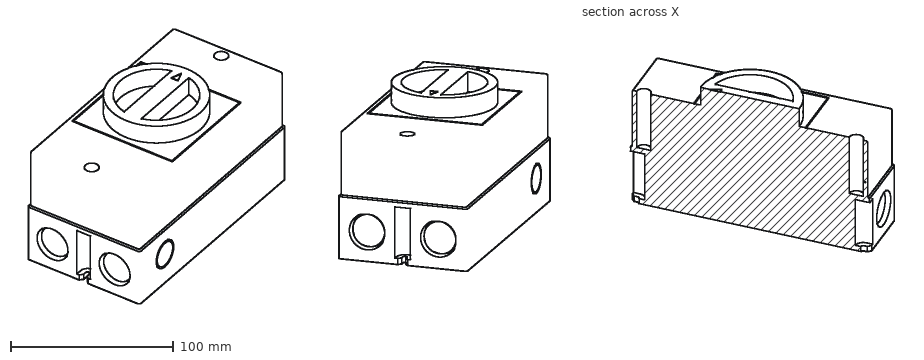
import cadquery as cq

length = 159.0
width = 84.0
base_height = 41.0
cover_height = 41.0
knob_height = 12.9
cover_inset = 1.03
corner_radius = 1.6
base_rim_chamfer = 1.0
cover_rim_radius = 1.6

knob_diameter = 65.7
knob_inner_diameter = 53.3
grip_width = 12.9
arrow_tip_y = 27.0
arrow_base_y = 19.7
arrow_width = 5.0

engraving_depth = 0.3
frame_size = 74.7
frame_line_width = 0.5

screw_diameter = 9.0
screw_y = 70.6

end_knockout_diameter = 23.0
end_knockout_x = 23.2
end_knockout_z = 19.1
end_knockout_recess = 3.2
side_knockout_diameter = 19.1
side_knockout_y = -52.0
side_knockout_z = 22.0
knockout_ring_width = 1.1
knockout_ring_depth = 2.4

channel_width = 10.0
channel_bottom = 4.0
channel_top = 37.0
slot_width = 2.7
slot_mouth_width = 6.7
slot_flare_depth = 2.0
notch_center_depth = 4.3

cover_top = base_height + cover_height
knob_top = cover_top + knob_height


def rounded_box(size_x, size_y, height, bottom):
    """Box with rounded vertical edges."""
    box = cq.Workplane("XY").workplane(offset=bottom).rect(size_x, size_y).extrude(height)
    return box.edges("|Z").fillet(corner_radius)


def make_knob():
    """Round knob with two segment-shaped pockets either side of the grip bar."""
    plane = cq.Workplane("XY").workplane(offset=cover_top)
    pockets = plane.circle(knob_inner_diameter / 2).extrude(knob_height)
    grip = plane.rect(grip_width, knob_diameter).extrude(knob_height)
    return plane.circle(knob_diameter / 2).extrude(knob_height).cut(pockets.cut(grip))


def make_arrow():
    """Triangular pointer engraved in the grip bar."""
    corners = [
        (-arrow_width / 2, arrow_base_y),
        (arrow_width / 2, arrow_base_y),
        (0, arrow_tip_y),
    ]
    return cq.Workplane("XY").workplane(offset=knob_top).polyline(corners).close().extrude(-engraving_depth)


def make_frame():
    """Thin square groove in the cover around the knob."""
    inner_size = frame_size - 2 * frame_line_width
    plane = cq.Workplane("XY").workplane(offset=cover_top)
    return plane.rect(frame_size, frame_size).rect(inner_size, inner_size).extrude(-engraving_depth)


def make_screw_holes():
    """Two holes as deep as the cover."""
    plane = cq.Workplane("XY").workplane(offset=cover_top)
    return plane.pushPoints([(0, -screw_y), (0, screw_y)]).circle(screw_diameter / 2).extrude(-cover_height)


def make_knockout(face, diameter, recess):
    """Cutter for a blank sunk by the recess, with a V ring groove; face is an inward-facing plane."""
    outer_radius = diameter / 2
    groove_section = [
        (outer_radius - knockout_ring_width, recess),
        (outer_radius - knockout_ring_width / 2, recess + knockout_ring_depth),
        (outer_radius, recess),
    ]
    axis_plane = cq.Plane(face.plane.origin, face.plane.xDir, -face.plane.yDir)
    ring = cq.Workplane(axis_plane).polyline(groove_section).close().revolve(360, (0, 0), (0, 1))
    if recess == 0:
        return ring
    return face.circle(outer_radius).extrude(recess).union(ring)


def make_end_knockouts():
    """Two sunk knockouts in the -Y end."""
    cutters = cq.Workplane("XY")
    for x in (-end_knockout_x, end_knockout_x):
        face = cq.Workplane(cq.Plane((x, -length / 2, end_knockout_z), (1, 0, 0), (0, 1, 0)))
        cutters = cutters.add(make_knockout(face, end_knockout_diameter, end_knockout_recess))
    return cutters.combine()


def make_side_knockout():
    """Flush knockout in the -X side."""
    face = cq.Workplane("YZ", origin=(-width / 2, side_knockout_y, side_knockout_z))
    return make_knockout(face, side_knockout_diameter, 0)


def make_notch():
    """Mounting notch in the -Y end."""
    end_y = -length / 2
    center_y = end_y + notch_center_depth

    def round_ended_slot(slot_size, bottom, top):
        half = slot_size / 2
        plane = cq.Workplane("XY").workplane(offset=bottom)
        outline = plane.moveTo(-half, end_y).lineTo(half, end_y).lineTo(half, center_y)
        outline = outline.threePointArc((0, center_y + half), (-half, center_y)).close()
        return outline.extrude(top - bottom)

    flare_corners = [
        (-slot_mouth_width / 2, end_y),
        (slot_mouth_width / 2, end_y),
        (slot_width / 2, end_y + slot_flare_depth),
        (-slot_width / 2, end_y + slot_flare_depth),
    ]
    flare = cq.Workplane("XY").polyline(flare_corners).close().extrude(channel_bottom)
    channel = round_ended_slot(channel_width, channel_bottom, channel_top)
    return channel.union(round_ended_slot(slot_width, 0, channel_bottom)).union(flare)


base = rounded_box(width, length, base_height, 0)
base = base.faces(">Z").chamfer(base_rim_chamfer)
cover = rounded_box(width - 2 * cover_inset, length - 2 * cover_inset, cover_height, base_height)
cover = cover.faces(">Z").edges().fillet(cover_rim_radius)
result = base.union(cover).union(make_knob())
result = result.cut(make_arrow()).cut(make_frame()).cut(make_screw_holes())

for cutter, mirror_plane in (
    (make_end_knockouts(), "XZ"),
    (make_notch(), "XZ"),
    (make_side_knockout(), "YZ"),
):
    result = result.cut(cutter).cut(cutter.mirror(mirror_plane))